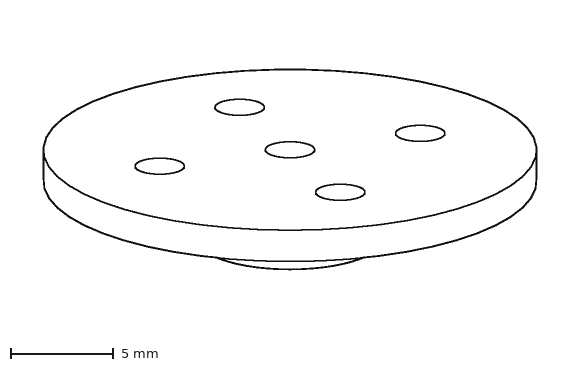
import cadquery as cq

flange_diameter = 24.0
flange_thickness = 1.6
hub_diameter = 9.0
hub_height = 3.0
hole_diameter = 2.4
bolt_circle_radius = 6.8
bolt_count = 4

total_height = hub_height + flange_thickness

hub = cq.Workplane("XY").circle(hub_diameter / 2).extrude(hub_height)
flange = (
    cq.Workplane("XY")
    .workplane(offset=hub_height)
    .circle(flange_diameter / 2)
    .extrude(flange_thickness)
)

center_hole = cq.Workplane("XY").circle(hole_diameter / 2).extrude(total_height)
bolt_holes = (
    cq.Workplane("XY")
    .polarArray(bolt_circle_radius, 0, 360, bolt_count)
    .circle(hole_diameter / 2)
    .extrude(total_height)
)

result = hub.union(flange).cut(center_hole).cut(bolt_holes)